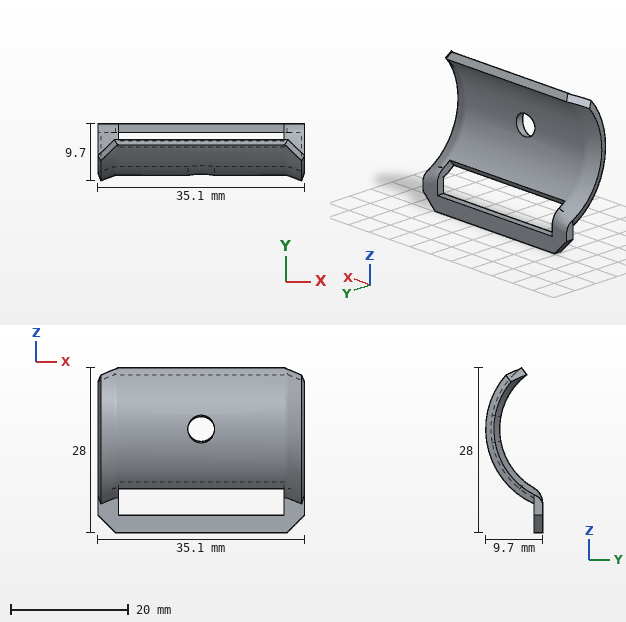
import cadquery as cq
import math


sheet = 1.5
width = 35.07
depth = 9.7
height = 28.0
bore_radius = 11.5
axis_height = 17.6
cover_half_length = 14.35
flare_angle = math.radians(20)
flare_bend_radius = 1.0
slot_width = 28.0
slot_bottom = 3.0
slot_top = 7.45
corner_cut = 3.0
back_bend_radius = 3.0
hole_diameter = 4.5

half_width = width / 2
sin_flare = math.sin(flare_angle)
cos_flare = math.cos(flare_angle)
outer_radius = bore_radius + sheet
tip_outer_x = half_width - sheet * sin_flare
bend_end_x = cover_half_length + flare_bend_radius * sin_flare
bend_rise = flare_bend_radius * (1 - cos_flare)
tip_outer_radius = outer_radius + bend_rise + (tip_outer_x - bend_end_x) * math.tan(flare_angle)
tip_inner_radius = tip_outer_radius - sheet * cos_flare
axis_y = tip_outer_radius - depth
top_angle = math.asin((height - axis_height) / outer_radius)
bend_center_radius = outer_radius + flare_bend_radius
reach = 3 * depth


def bend_point(offset, angle):
    """Point (x, radius) on the flare bend, offset inward from the cover's outer face."""
    arc_radius = flare_bend_radius + offset
    return (
        cover_half_length + arc_radius * math.sin(angle),
        bend_center_radius - arc_radius * math.cos(angle),
    )


def mirrored(point):
    """The same (x, radius) point on the -X end."""
    return (-point[0], point[1])


def trace_face(sketch, offset, tip):
    """Draw one face of the sheet from its +X tip to its -X tip."""
    end = bend_point(offset, flare_angle)
    middle = bend_point(offset, flare_angle / 2)
    start = bend_point(offset, 0)
    return (
        sketch.lineTo(*end)
        .threePointArc(middle, start)
        .lineTo(*mirrored(start))
        .threePointArc(mirrored(middle), mirrored(end))
        .lineTo(*mirrored(tip))
    )


def revolve_on_axis(profile):
    """Revolve an (x, radius) profile fully and move it onto the cover's axis."""
    return profile.revolve(360, (0, 0, 0), (1, 0, 0)).translate((0, axis_y, axis_height))


def bore():
    """Everything inside the cover's inner face, flares included."""
    tip = (half_width, tip_inner_radius)
    sketch = cq.Workplane("XY").moveTo(half_width, 0).lineTo(*tip)
    return revolve_on_axis(trace_face(sketch, sheet, tip).lineTo(-half_width, 0).close())


def flared_cover():
    """The curved sheet, from its top edge down to where it runs into the bar."""
    outer_tip = (tip_outer_x, tip_outer_radius)
    inner_tip = (half_width, tip_inner_radius)
    outer_face = trace_face(cq.Workplane("XY").moveTo(*outer_tip), 0, outer_tip)
    left_end = outer_face.lineTo(*mirrored(inner_tip)).lineTo(-half_width, 0)
    profile = left_end.lineTo(half_width, 0).lineTo(*inner_tip).close()
    ring = revolve_on_axis(profile).cut(bore())

    top_y = axis_y - reach * math.cos(top_angle)
    top_z = axis_height + reach * math.sin(top_angle)
    bar_middle = -sheet / 2
    sector = (
        cq.Workplane("YZ")
        .moveTo(axis_y, axis_height)
        .lineTo(top_y, top_z)
        .lineTo(axis_y - reach, axis_height)
        .lineTo(axis_y - reach, axis_height - reach)
        .lineTo(bar_middle, axis_height - reach)
        .lineTo(bar_middle, axis_height)
        .close()
        .extrude(half_width, both=True)
    )
    return ring.intersect(sector)


def bar_blank():
    """The flat plate, shaped at its top by the bore it runs into."""
    plate = cq.Workplane("XY").box(width, sheet, axis_height, centered=(True, False, False))
    plate = plate.translate((0, -sheet, 0)).edges("|Y and <Z").chamfer(corner_cut)
    return plate.cut(bore())


def top_corner_cutter(side):
    """Block lying past a 45 degree cut, square to the flare, across a top corner of the cover."""
    tangent = cq.Vector(0, math.sin(top_angle), math.cos(top_angle))
    radial = cq.Vector(0, -math.cos(top_angle), math.sin(top_angle))
    axial = cq.Vector(side, 0, 0)
    along_flare = axial * cos_flare + radial * sin_flare
    tip = cq.Vector(side * tip_outer_x, axis_y, axis_height) + radial * tip_outer_radius
    cut_plane = cq.Plane(tip - along_flare * corner_cut, along_flare - tangent, along_flare + tangent)
    block_side = 4 * corner_cut
    return cq.Workplane(cut_plane).rect(block_side, block_side).extrude(block_side / 2)


def slot_cutter():
    """Strap slot: flat edge on the bar, and an edge square to the curved sheet on the cover."""
    edge_angle = math.asin((axis_height - slot_top) / outer_radius)

    def edge_point(radius):
        return (axis_y - radius * math.cos(edge_angle), axis_height - radius * math.sin(edge_angle))

    inner = edge_point(bore_radius - sheet)
    outer = edge_point(outer_radius + sheet)
    outline = cq.Workplane("YZ").moveTo(sheet, slot_bottom).lineTo(outer[0], slot_bottom).lineTo(*outer)
    outline = outline.lineTo(*inner).lineTo(sheet, inner[1]).close()
    return outline.extrude(slot_width / 2, both=True)


def hole_cutter():
    """Hole square to the curved sheet: its height grows with the distance from the cover's axis."""
    near = bore_radius - sheet
    far = outer_radius + sheet
    radius = hole_diameter / 2
    spread = radius / (bore_radius + sheet / 2)
    front_plane = cq.Workplane("XZ", origin=(0, axis_y - near, axis_height))
    return (
        front_plane.ellipse(radius, spread * near)
        .workplane(offset=far - near)
        .ellipse(radius, spread * far)
        .loft(ruled=True)
    )


def back_rounding_section(x, bore_at_x, bend):
    """Waste outside an arc of radius `bend`, tangent to the bore and to the bar's back face, at one X."""
    center_y = -bend
    center_height = axis_height - math.sqrt((bore_at_x + bend) ** 2 - (axis_y - center_y) ** 2)
    contact_angle = math.acos((axis_y - center_y) / (bore_at_x + bend))

    def arc_point(angle):
        return (center_y + bend * math.cos(angle), center_height + bend * math.sin(angle))

    contact = arc_point(contact_angle)
    inside_bore = (
        contact[0] + sheet * math.cos(contact_angle),
        contact[1] + sheet * math.sin(contact_angle),
    )
    sketch = cq.Workplane("YZ", origin=(x, 0, 0)).moveTo(*contact)
    sketch = sketch.threePointArc(arc_point(contact_angle / 2), arc_point(0))
    outline = sketch.lineTo(sheet, center_height).lineTo(sheet, inside_bore[1]).lineTo(*inside_bore).close()
    return outline.wires().val()


def back_rounding_cutters():
    """Rounding from bore to back face, tightening from the middle of the part to the flare tips."""
    bend_end = bend_point(sheet, flare_angle)
    stations = [
        (cover_half_length, bore_radius, back_bend_radius),
        (*bend_end, back_bend_radius - (bend_end[1] - bore_radius)),
        (half_width, tip_inner_radius, back_bend_radius - (tip_inner_radius - bore_radius)),
    ]
    stations = [mirrored(station) + station[2:] for station in reversed(stations)] + stations
    sections = [back_rounding_section(*station) for station in stations]
    return [cq.Solid.makeLoft([start, end], True) for start, end in zip(sections, sections[1:])]


result = flared_cover().union(bar_blank())
for cutter in back_rounding_cutters():
    result = result.cut(cq.Workplane(cutter))
for side in (-1, 1):
    result = result.cut(top_corner_cutter(side))
result = result.cut(slot_cutter()).cut(hole_cutter())